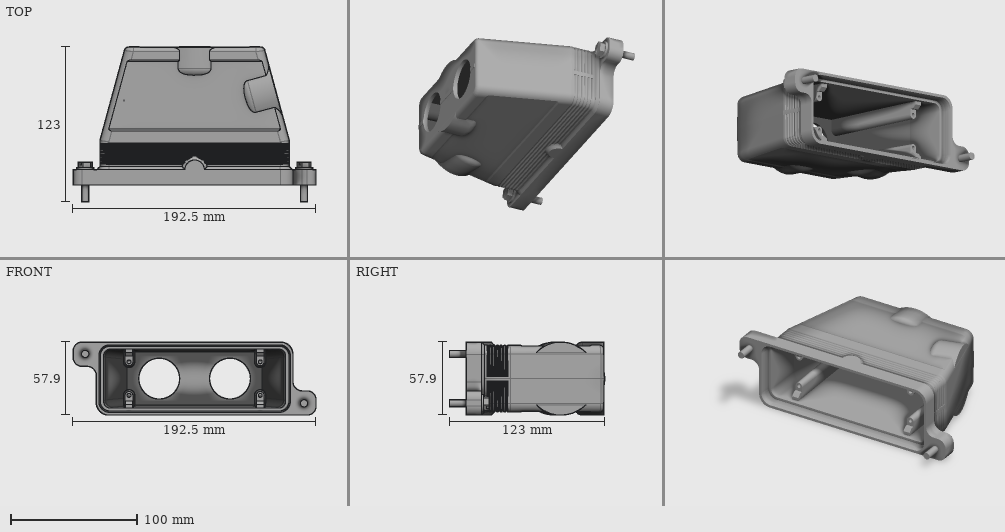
import cadquery as cq
import math

length = 192.5
flange_half_height = 28.97
flange_thickness = 12.1
flange_half_width = 78.0
flange_corner = 9.8
tab_low_edge = 9.6
tab_radius = 7.1

hood_half_width = 75.0
hood_half_height = 26.47
hood_back = 109.3
hood_draft = 0.8
hood_bend = 35.2
side_lean = 15.2
hood_corner = 7.0
back_edge_radius = 3.5
flare = flange_half_height - hood_half_height
seam_half_width = 1.7
back_strip_height = 0.4

panel_depth = 0.5
panel_start = 42.7
panel_end = 99.1
panel_edge_run = 1.5

groove_count = 6
groove_pitch = 2.9
groove_first = 17.5
groove_width = 2.3
groove_floor = 0.8
groove_depth = 0.67
groove_reach = 2.0

boss_radius = flange_half_height
boss_round = 6.2
boss_setback = 0.4
back_boss_length = 23.3
side_boss_length = 25.8
side_boss_y = 75.3

lug_radius = 7.7
lug_height = 3.0

cavity_mouth_half_width = 72.5
cavity_half_width = 70.5
cavity_front_half_height = 23.7
cavity_back_half_height = 21.0
cavity_back = 105.9
cavity_back_half_width = 53.5
cavity_bend = 40.5
cavity_corner = 5.8

mouth_half_width = 75.8
mouth_half_height = 26.8
mouth_corner = 8.7
mouth_steps = [(0, 0), (2.1, 0.48), (5.8, 0.67), (8.7, 1.2)]

hole_radius = 16.07
hole_x = 28.0

post_x = 52.0
post_z = 13.3
post_radius = 3.0
post_front = 17.9
post_taper = 1.0
post_hole_radius = 1.5
post_hole_depth = 15.4
foot_shelf = 15.4
foot_front = 12.3
foot_low = 17.7
foot_high = 20.6
foot_width = 5.8

screw_x = 86.6
screw_z = 19.54
screw_tip = -13.3
shank_radius = 2.9
washer_radius = 7.0
washer_thickness = 1.7
head_radius = 5.87
head_top = 18.0
head_turn = 46.0
slot_width = 1.5
slot_depth = 2.1

lean = math.tan(math.radians(side_lean))
hood_back_half_width = hood_half_width - (hood_back - hood_bend) * lean


def along_y(y):
    """Workplane at height y whose normal is +Y, local x = X and local y = -Z."""
    return cq.Workplane("XZ", origin=(0, y, 0)).transformed(rotate=(180, 0, 0))


def rounded_frustum(half_width, half_height, corner, y0, y1, inset=0.0):
    """Rounded rectangle at y0 whose outline is moved inward by inset at y1."""
    start = cq.Sketch().rect(2 * half_width, 2 * half_height).vertices().fillet(corner)
    end = (
        cq.Sketch()
        .rect(2 * (half_width - inset), 2 * (half_height - inset))
        .vertices().fillet(corner - inset)
    )
    shift = cq.Location(cq.Vector(0, 0, y1 - y0))
    return along_y(y0).placeSketch(start, end.moved(shift)).loft()


def leaning_outline(front_half_width, half_width, bend, back_half_width, back):
    """XY outline that runs to the bend and then leans inward to the back."""
    points = [
        (-front_half_width, 0),
        (front_half_width, 0),
        (half_width, bend),
        (back_half_width, back),
        (-back_half_width, back),
        (-half_width, bend),
    ]
    return cq.Workplane("XY").polyline(points).close()


def make_hood():
    upper_half = leaning_outline(
        hood_half_width, hood_half_width, hood_bend, hood_back_half_width, hood_back
    ).extrude(hood_half_height, taper=hood_draft)
    upper_half = upper_half.faces(">Z").edges("not |X").fillet(hood_corner)
    upper_half = (
        upper_half.faces(">Y").edges()
        .filter(lambda edge: edge.Center().z > seam_half_width)
        .fillet(back_edge_radius)
    )
    hood = upper_half.union(upper_half.mirror("XY"))
    for side in (1, -1):
        top = side * hood_half_height
        floor = side * (hood_half_height - panel_depth)
        recess = [
            (panel_start, top),
            (panel_start + panel_edge_run, floor),
            (panel_end - panel_edge_run, floor),
            (panel_end, top),
        ]
        hood = hood.cut(
            cq.Workplane("YZ").polyline(recess).close().extrude(length / 2, both=True)
        )
    strip_half_width = hood_back_half_width - back_edge_radius
    strip = (
        cq.Workplane("XY", origin=(0, hood_back, 0))
        .rect(2 * strip_half_width, 2 * back_strip_height)
        .extrude(seam_half_width, both=True)
    )
    return hood.union(strip)


def make_groove(y):
    """Groove with sloping walls around the hood, interrupted by the seam strips at both sides."""
    start = y - groove_width / 2
    end = y + groove_width / 2
    wall_run = (groove_width - groove_floor) / 2
    floor_half_width = hood_half_width - groove_depth
    floor_half_height = hood_half_height - groove_depth
    floor_corner = hood_corner - groove_depth
    ring = rounded_frustum(
        hood_half_width + groove_reach, hood_half_height + groove_reach,
        hood_corner + groove_reach, start, end,
    )
    lower_wall = rounded_frustum(
        hood_half_width, hood_half_height, hood_corner, start, start + wall_run, groove_depth
    )
    floor = rounded_frustum(floor_half_width, floor_half_height, floor_corner, start, end)
    upper_wall = rounded_frustum(
        floor_half_width, floor_half_height, floor_corner, end - wall_run, end, -groove_depth
    )
    seam = cq.Workplane("XY").box(length, length, 2 * seam_half_width)
    return ring.cut(lower_wall).cut(floor).cut(upper_wall).cut(seam)


def make_flange():
    half = length / 2
    outline = [
        (-half, flange_half_height),
        (flange_half_width, flange_half_height),
        (flange_half_width, -tab_low_edge),
        (half, -tab_low_edge),
        (half, -flange_half_height),
        (-flange_half_width, -flange_half_height),
        (-flange_half_width, tab_low_edge),
        (-half, tab_low_edge),
    ]
    flange = cq.Workplane("XZ").polyline(outline).close().extrude(-flange_thickness)
    for x, z in outline:
        is_hood_corner = abs(x) < half and abs(z) == flange_half_height
        radius = flange_corner if is_hood_corner else tab_radius
        corner = cq.selectors.NearestToPointSelector((x, flange_thickness / 2, z))
        flange = flange.edges(corner).fillet(radius)
    collar = rounded_frustum(
        hood_half_width + flare, flange_half_height, flange_corner,
        flange_thickness, flange_thickness + flare, flare,
    )
    return flange.union(collar)


def make_boss(depth):
    """Cable boss along Z of its own frame, with the hood wall at Z = 0."""
    boss = cq.Workplane("XY", origin=(0, 0, -boss_setback)).circle(boss_radius).extrude(boss_setback - depth)
    return boss.faces("<Z").edges().fillet(boss_round)


def make_lug(side):
    """Half-round lug that widens from the broad face level toward the hood."""
    return (
        cq.Workplane("XY", origin=(0, flange_thickness, side * flange_half_height))
        .circle(lug_radius)
        .workplane(offset=-side * lug_height)
        .circle(lug_radius + lug_height)
        .loft()
    )


def make_cavity():
    plan = leaning_outline(
        cavity_mouth_half_width, cavity_half_width, cavity_bend, cavity_back_half_width, cavity_back
    ).extrude(hood_half_height, both=True)
    wedge = [
        (0, cavity_front_half_height),
        (cavity_back, cavity_back_half_height),
        (cavity_back, -cavity_back_half_height),
        (0, -cavity_front_half_height),
    ]
    cavity = plan.intersect(
        cq.Workplane("YZ").polyline(wedge).close().extrude(length / 2, both=True)
    )
    return cavity.edges("(not |Z) and (not |X)").fillet(cavity_corner)


def make_post(side_x, side_z):
    """Screw post on a broad wall, with a foot that reaches forward along that wall."""
    wall = hood_half_height
    column = (
        cq.Workplane("XZ", origin=(side_x * post_x, post_front, side_z * post_z))
        .moveTo(-post_radius, side_z * (wall - post_z))
        .lineTo(-post_radius, 0)
        .threePointArc((0, -side_z * post_radius), (post_radius, 0))
        .lineTo(post_radius, side_z * (wall - post_z))
        .close()
        .extrude(-(cavity_back - post_front), taper=-post_taper)
    )
    foot_outline = [
        (post_front, side_z * foot_low),
        (foot_shelf, side_z * foot_low),
        (foot_front, side_z * foot_high),
        (foot_front, side_z * wall),
        (post_front + foot_width, side_z * wall),
        (post_front + foot_width, side_z * foot_low),
    ]
    foot = (
        cq.Workplane("YZ", origin=(side_x * post_x, 0, 0))
        .polyline(foot_outline).close()
        .extrude(foot_width / 2, both=True)
    )
    hole = (
        cq.Workplane("XZ", origin=(side_x * post_x, post_front, side_z * post_z))
        .circle(post_hole_radius)
        .extrude(-post_hole_depth)
    )
    return column.union(foot).cut(hole)


def make_screw(x, z):
    shank = along_y(screw_tip).circle(shank_radius).extrude(flange_thickness - screw_tip)
    washer = along_y(flange_thickness).circle(washer_radius).extrude(washer_thickness)
    head = along_y(flange_thickness).polygon(6, 2 * head_radius).extrude(head_top - flange_thickness)
    slot = (
        along_y(head_top - slot_depth)
        .transformed(rotate=(0, 0, 90))
        .rect(2 * washer_radius, slot_width)
        .extrude(slot_depth)
    )
    screw = shank.union(washer).union(head.cut(slot))
    return screw.rotate((0, 0, 0), (0, 1, 0), -head_turn).translate((x, 0, z))


shell = make_hood()
for index in range(groove_count):
    shell = shell.cut(make_groove(groove_first + index * groove_pitch))

back_boss = make_boss(back_boss_length).rotate((0, 0, 0), (1, 0, 0), -90).translate((0, hood_back, 0))
side_boss_x = hood_half_width - (side_boss_y - hood_bend) * lean
side_boss = (
    make_boss(side_boss_length)
    .rotate((0, 0, 0), (0, 1, 0), 90)
    .rotate((0, 0, 0), (0, 0, 1), side_lean)
    .translate((side_boss_x, side_boss_y, 0))
)
shell = shell.union(back_boss).union(side_boss).union(make_flange())
for side in (1, -1):
    shell = shell.union(make_lug(side))

cavity = make_cavity()
shell = shell.cut(cavity)
for (depth, inset), (next_depth, next_inset) in zip(mouth_steps, mouth_steps[1:]):
    shell = shell.cut(rounded_frustum(
        mouth_half_width - inset, mouth_half_height - inset, mouth_corner - inset,
        depth, next_depth, next_inset - inset,
    ))
for side_x in (1, -1):
    for side_z in (1, -1):
        shell = shell.union(make_post(side_x, side_z).intersect(cavity))
    cable_hole = (
        along_y(cavity_bend)
        .center(side_x * hole_x, 0)
        .circle(hole_radius)
        .extrude(length / 2)
    )
    shell = shell.cut(cable_hole)

result = shell
for side in (1, -1):
    result = result.union(make_screw(side * screw_x, -side * screw_z))